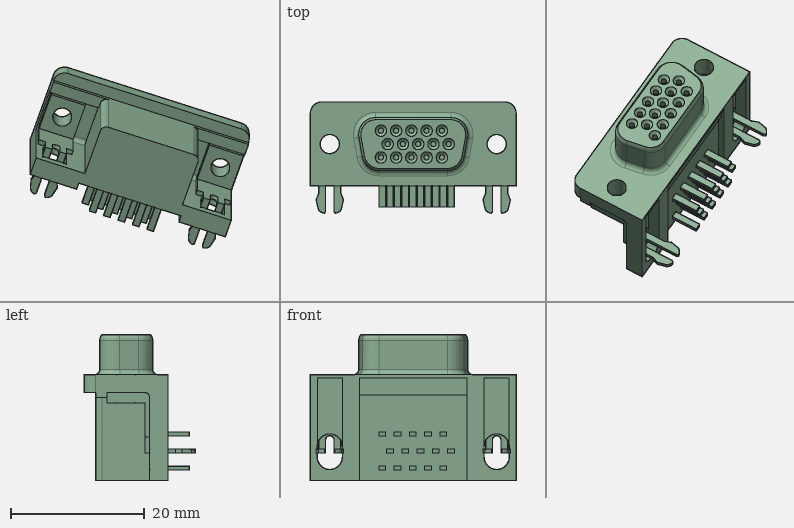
import cadquery as cq
import math


length = 30.8
housing_height = 15.83
leg_depth = 2.77
flange_depth = 12.57
flange_bottom = 13.15
flange_corner_radius = 1.72
inner_corner_radius = 0.7
rail_front = 9.12
rail_back = flange_depth - flange_corner_radius
rail_bottom = 12.38
core_half_width = 7.7
core_corner_radius = 0.95

recess_top = 15.35
window_half_width = 8.07
window_step = 12.75
window_depth = 1.02
window_upper_depth = 0.5
slot_width = 3.73
slot_depth = 1.82
slot_bottom = 1.65
slot_hole_top = 6.95

mount_x = 12.47
mount_y = 6.25
mount_hole_diameter = 2.83
strap_half_width = 2.68
strap_thickness = 0.68
strap_bottom = 6.53
strap_head_thickness = 1.55
fork_half_width = 1.65
fork_gap = 1.23
fork_gap_top = 6.68
prong_bottom = 4.1
prong_thickness = 0.6
prong_tip = -4.1
prong_taper = -3.5
prong_barb = -2.1
prong_neck = -1.1
prong_barb_half_width = 2.05
prong_taper_half_width = 1.72
prong_tip_arc_middle = (1.35, -3.9)
prong_tip_chamfer_width = 0.2
prong_tip_chamfer_start = -3.85

total_height = 21.8
shell_half_width = 8.15
shell_front = 2.28
shell_back = 10.23
shell_corner_radius = 2.55
shell_side_angle = 10.0
shell_flare_radius = 0.77
shell_rim_radius = 1.3
shell_rim_height = 0.85

columns = 5
socket_pitch = 2.28
socket_start = -4.85
socket_stagger = 1.02
socket_row_pitch = 2.0
socket_mouth_diameter = 1.7
socket_bore_diameter = 0.77
socket_depth = 1.55
pin_pitch = 2.28
pin_start = -4.62
pin_width = 1.02
pin_height = 0.62
pin_tip = -3.17
pin_row_pitch = 2.55
pin_middle_z = 4.4


def block(x0, x1, y0, y1, z0, z1):
    """Axis-aligned box between two opposite corners."""
    return cq.Workplane("XY").box(x1 - x0, y1 - y0, z1 - z0, centered=False).translate((x0, y0, z0))


def centred_block(half_width, y0, y1, z0, z1):
    """Box that is symmetric about X = 0."""
    return block(-half_width, half_width, y0, y1, z0, z1)


def make_housing():
    """L-shaped housing: front leg, top flange, rear rail and the core behind the contacts."""
    half_length = length / 2
    flange = centred_block(half_length, 0, flange_depth, flange_bottom, housing_height)
    flange = flange.edges("|Z and >Y").fillet(flange_corner_radius)
    leg = centred_block(half_length, 0, leg_depth, 0, housing_height)
    bracket = flange.union(leg)
    inner_corner = cq.selectors.NearestToPointSelector((0, leg_depth, flange_bottom))
    bracket = bracket.edges(inner_corner).fillet(inner_corner_radius)
    rail = centred_block(half_length, rail_front, rail_back, rail_bottom, flange_bottom)
    core = centred_block(core_half_width, 0, rail_back, 0, flange_bottom)
    core = core.edges("|Z and >Y").fillet(core_corner_radius)
    return bracket.union(rail).union(core)


def make_window():
    """Stepped recess around the pins, open at the base."""
    lower = centred_block(window_half_width, 0, window_depth, 0, window_step)
    upper = centred_block(window_half_width, 0, window_upper_depth, window_step, recess_top)
    return lower.union(upper)


def make_slot(x):
    """Strap recess: a shallow slot with a round bottom, opening into a round-topped hole."""
    radius = slot_width / 2
    bottom_centre = slot_bottom + radius
    hole_centre = slot_hole_top - radius
    slot = block(x - radius, x + radius, 0, slot_depth, bottom_centre, recess_top)
    slot_end = cq.Workplane("XZ", origin=(x, 0, bottom_centre)).circle(radius).extrude(-slot_depth)
    hole = block(x - radius, x + radius, slot_depth, leg_depth, slot_bottom, hole_centre)
    hole_end = cq.Workplane("XZ", origin=(x, slot_depth, hole_centre)).circle(radius)
    hole = hole.union(hole_end.extrude(slot_depth - leg_depth))
    return slot.union(slot_end).union(hole)


def make_strap():
    """Bent strap centred on X = 0, with a thick head under the flange and a fork at its foot."""
    strap_back = leg_depth + strap_thickness
    head_bottom = flange_bottom - strap_head_thickness
    head = centred_block(strap_half_width, leg_depth, rail_front, head_bottom, flange_bottom)
    sheet = centred_block(strap_half_width, leg_depth, strap_back, strap_bottom, flange_bottom)
    bend = head.union(sheet).edges("|X and <Y and >Z").fillet(inner_corner_radius)
    fork = centred_block(fork_half_width, leg_depth, strap_back, prong_bottom, strap_bottom)
    gap_radius = fork_gap / 2
    gap_centre = fork_gap_top - gap_radius
    gap = centred_block(gap_radius, leg_depth, strap_back, prong_bottom, gap_centre)
    gap_end = cq.Workplane("XZ", origin=(0, leg_depth, gap_centre)).circle(gap_radius)
    gap = gap.union(gap_end.extrude(-strap_thickness))
    strap = bend.union(fork).cut(gap)

    prong = (
        cq.Workplane("XY", origin=(0, 0, prong_bottom))
        .moveTo(gap_radius, strap_back)
        .lineTo(gap_radius, prong_tip_chamfer_start)
        .lineTo(gap_radius + prong_tip_chamfer_width, prong_tip)
        .threePointArc(prong_tip_arc_middle, (prong_taper_half_width, prong_taper))
        .lineTo(prong_barb_half_width, prong_barb)
        .lineTo(fork_half_width, prong_neck)
        .lineTo(fork_half_width, strap_back)
        .close()
        .extrude(prong_thickness)
    )
    return strap.union(prong).union(prong.mirror("YZ"))


def make_shell():
    """D-shaped plug body with a rounded rim, before its foot is flared into the flange."""
    lean = math.radians(shell_side_angle)
    back_centre_y = shell_back - shell_corner_radius
    back_centre_x = shell_half_width - shell_corner_radius
    tangent_x = back_centre_x + shell_corner_radius * math.cos(lean)
    tangent_y = back_centre_y - shell_corner_radius * math.sin(lean)
    back_half = tangent_x + (shell_back - tangent_y) * math.tan(lean)
    front_half = tangent_x + (shell_front - tangent_y) * math.tan(lean)
    corners = [
        (-back_half, shell_back),
        (back_half, shell_back),
        (front_half, shell_front),
        (-front_half, shell_front),
    ]
    rim_start = total_height - shell_rim_height
    full_height = rim_start + shell_rim_radius
    blank = cq.Workplane("XY", origin=(0, 0, flange_bottom)).polyline(corners).close()
    shell = blank.extrude(full_height - flange_bottom)
    shell = shell.edges("|Z").fillet(shell_corner_radius).faces(">Z").edges().fillet(shell_rim_radius)
    above_face = centred_block(length, 0, flange_depth, total_height, full_height)
    return shell.cut(above_face)


def add_shell(housing):
    """Join the shell to the flange and round the corner at its foot."""
    joined = housing.union(make_shell())
    margin = 0.03
    foot = cq.selectors.BoxSelector(
        (-shell_half_width - margin, shell_front - margin, housing_height - margin),
        (shell_half_width + margin, shell_back + margin, housing_height + margin),
    )
    return joined.edges(foot).fillet(shell_flare_radius)


def make_sockets():
    """Three rows of countersunk contact bores, the middle row staggered."""
    mouth_radius = socket_mouth_diameter / 2
    bore_radius = socket_bore_diameter / 2
    countersink_depth = mouth_radius - bore_radius
    contact = (
        cq.Workplane("XZ")
        .polyline(
            [
                (0, 0),
                (mouth_radius, 0),
                (bore_radius, -countersink_depth),
                (bore_radius, -socket_depth),
                (0, -socket_depth),
            ]
        )
        .close()
        .revolve(360, (0, 0, 0), (0, 1, 0))
    )
    sockets = cq.Workplane("XY")
    for row in (-1, 0, 1):
        row_start = socket_start + (socket_stagger if row == 0 else 0)
        for column in range(columns):
            x = row_start + column * socket_pitch
            y = mount_y + row * socket_row_pitch
            sockets = sockets.add(contact.translate((x, y, total_height)))
    return sockets.combine()


def make_pins():
    """Three rows of rectangular pins, the middle row shifted by half a pitch."""
    pins = cq.Workplane("XY")
    for row in (-1, 0, 1):
        z = pin_middle_z + row * pin_row_pitch - pin_height / 2
        row_start = pin_start + (pin_pitch / 2 if row == 0 else 0) - pin_width / 2
        for column in range(columns):
            x = row_start + column * pin_pitch
            pins = pins.add(block(x, x + pin_width, pin_tip, window_depth, z, z + pin_height))
    return pins.combine()


connector = add_shell(make_housing())
connector = connector.cut(make_window()).cut(make_sockets())
for side in (-1, 1):
    x = side * mount_x
    connector = connector.cut(make_slot(x))
    connector = connector.union(make_strap().translate((x, 0, 0)))
    hole = cq.Workplane("XY").center(x, mount_y).circle(mount_hole_diameter / 2).extrude(total_height)
    connector = connector.cut(hole)

result = connector.union(make_pins())